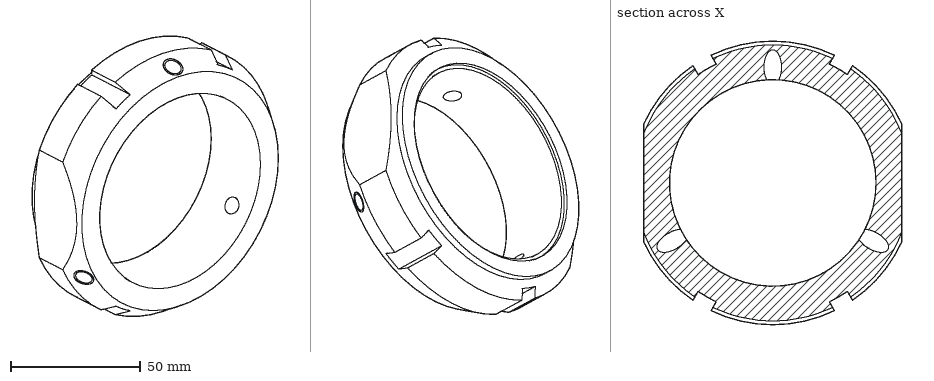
import cadquery as cq
import math

width = 32.0
outer_radius = 55.0
collar_radius = 96.0 / 2
collar_length = 3.0
bore_radius = 80.0 / 2
bore_mouth_radius = 83.0 / 2
bore_mouth_depth = 1.5
across_flats = 100.0

shoulder_angle = math.radians(30)
rim_end = 21.6
rim_start = collar_length + (outer_radius - collar_radius) * math.tan(shoulder_angle)
back_radius = outer_radius - (width - rim_end) * math.tan(shoulder_angle)

slot_width = 8.0
slot_floor_radius = 51.0
slot_angles = (30, 150, 210, 330)

hole_diameter = 6.6
spot_face_diameter = 8.0
spot_face_depth = 0.2
hole_x = 27.7
hole_angles = (0, 120, 240)
clearance = 5.5


def ring_body():
    """Revolved nut with a shallow counterbore at the collar end."""
    profile = [
        (0, bore_mouth_radius),
        (0, collar_radius),
        (collar_length, collar_radius),
        (rim_start, outer_radius),
        (rim_end, outer_radius),
        (width, back_radius),
        (width, bore_radius),
        (bore_mouth_depth, bore_radius),
        (bore_mouth_depth, bore_mouth_radius),
    ]
    return cq.Workplane("XY").polyline(profile).close().revolve(360, (0, 0, 0), (1, 0, 0))


def across_flats_block():
    """Block whose Y faces form the two wrench flats."""
    return cq.Workplane("XY").box(width, across_flats, 2 * outer_radius).translate((width / 2, 0, 0))


def spanner_slot():
    """Slot cutter at the top of the ring, with a floor concentric to the ring."""
    block = cq.Workplane("XY").box(width, slot_width, outer_radius + clearance, centered=(False, True, False))
    core = cq.Workplane("YZ").circle(slot_floor_radius).extrude(width)
    return block.cut(core)


def set_screw_hole():
    """Tilted, spot-faced hole cutter running from the back cone into the bore."""
    surface_radius = outer_radius - (hole_x - rim_end) * math.tan(shoulder_angle)
    mouth = cq.Vector(hole_x, 0, surface_radius)
    inward = cq.Vector(-math.sin(shoulder_angle), 0, -math.cos(shoulder_angle))
    hole_depth = (surface_radius - bore_radius) / math.cos(shoulder_angle) + clearance
    start = mouth - inward * clearance
    drill = cq.Solid.makeCylinder(hole_diameter / 2, hole_depth + clearance, start, inward)
    spot_face = cq.Solid.makeCylinder(spot_face_diameter / 2, spot_face_depth + clearance, start, inward)
    return cq.Workplane(drill).union(cq.Workplane(spot_face))


def around_axis(cutter, angle):
    """Turn a cutter about the ring axis."""
    return cutter.rotate((0, 0, 0), (1, 0, 0), angle)


result = ring_body().intersect(across_flats_block())
for slot_angle in slot_angles:
    result = result.cut(around_axis(spanner_slot(), slot_angle))
for hole_angle in hole_angles:
    result = result.cut(around_axis(set_screw_hole(), hole_angle))